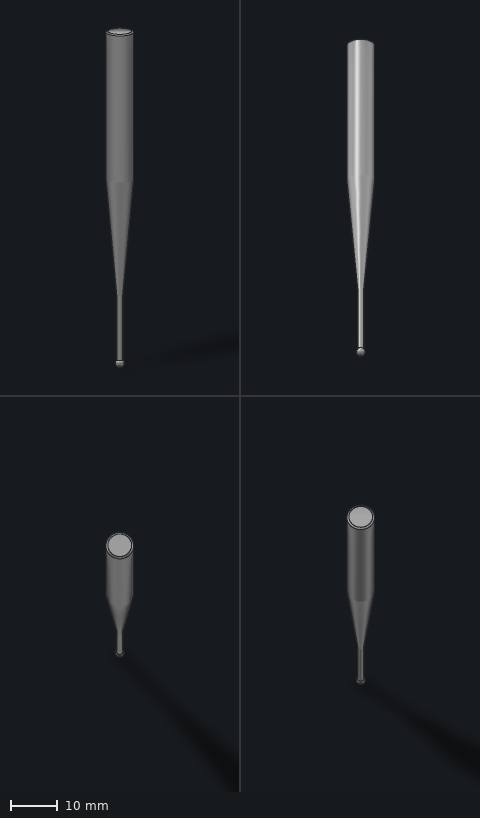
import cadquery as cq
import math

total_length = 75.0
shank_radius = 3.0
shank_length = 33.0
chamfer_width = 0.45
chamfer_height = 0.2
neck_radius = 0.7
neck_top = 16.0
ball_radius = 1.0

shank_bottom = total_length - shank_length
chamfer_bottom = total_length - chamfer_height
ball_neck_joint = ball_radius + math.sqrt(ball_radius**2 - neck_radius**2)

outline = (
    cq.Workplane("XZ")
    .moveTo(0, 0)
    .threePointArc((ball_radius, ball_radius), (neck_radius, ball_neck_joint))
    .lineTo(neck_radius, neck_top)
    .lineTo(shank_radius, shank_bottom)
    .lineTo(shank_radius, chamfer_bottom)
    .lineTo(shank_radius - chamfer_width, total_length)
    .lineTo(0, total_length)
    .close()
)

result = outline.revolve(360, (0, 0, 0), (0, 1, 0))